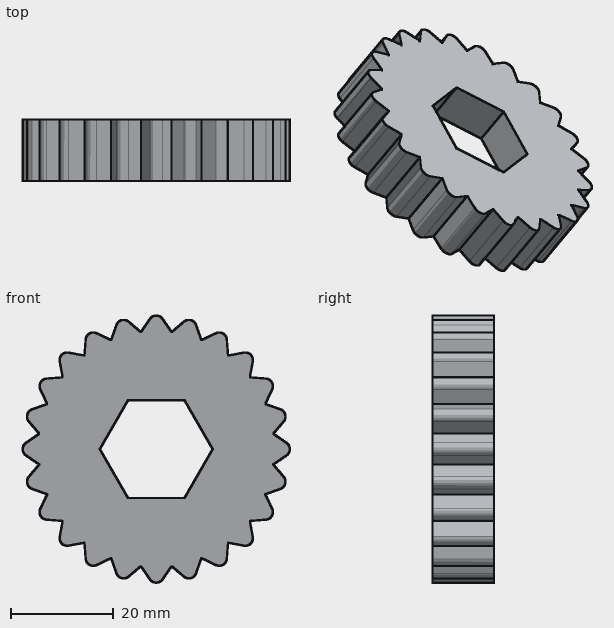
import cadquery as cq
import math

tip_radius = 26.0
root_radius = 23.0
tooth_count = 24
tip_round = 1.5
thickness = 12.0
hex_across_flats = 19.0
recess_radius = 20.0
recess_depth = 4.0

tooth_pitch = 2 * math.pi / tooth_count


def polar_point(radius, angle):
    """Point at a radius and angle about the gear axis."""
    return (radius * math.cos(angle), radius * math.sin(angle))


def crown_half_angle():
    """Angle from the tooth centre line to the normal of its straight flank.

    The flank runs from the valley point and is tangent to the crown circle.
    """
    crown_centre = tip_radius - tip_round
    valley_x, valley_y = polar_point(root_radius, tooth_pitch / 2)
    offset_x = valley_x - crown_centre
    valley_distance = math.hypot(offset_x, valley_y)
    return math.atan2(valley_y, offset_x) - math.acos(tip_round / valley_distance)


def crown_point(tooth_angle, turn):
    """Point on a tooth's crown circle, turned from the tooth centre line."""
    centre_x, centre_y = polar_point(tip_radius - tip_round, tooth_angle)
    offset_x, offset_y = polar_point(tip_round, tooth_angle + turn)
    return (centre_x + offset_x, centre_y + offset_y)


def toothed_blank():
    """Toothed disc with straight flanks, rounded crowns and sharp valleys."""
    half_angle = crown_half_angle()
    outline = cq.Workplane("XZ").moveTo(*polar_point(root_radius, -tooth_pitch / 2))
    for tooth in range(tooth_count):
        angle = tooth * tooth_pitch
        outline = (
            outline.lineTo(*crown_point(angle, -half_angle))
            .threePointArc(crown_point(angle, 0), crown_point(angle, half_angle))
        )
        if tooth < tooth_count - 1:
            outline = outline.lineTo(*polar_point(root_radius, angle + tooth_pitch / 2))
    return outline.close().extrude(thickness / 2, both=True)


def hex_bore():
    """Through bore with corners on the X axis and flats facing up and down."""
    across_corners = hex_across_flats / math.cos(math.pi / 6)
    return cq.Workplane("XZ").polygon(6, across_corners).extrude(thickness / 2, both=True)


def back_recess():
    """Round recess sunk into the +Y face, wider than the hex bore."""
    recess_floor = thickness / 2 - recess_depth
    return (
        cq.Workplane("XZ", origin=(0, recess_floor, 0))
        .circle(recess_radius)
        .extrude(-recess_depth)
    )


result = toothed_blank().cut(hex_bore()).cut(back_recess())